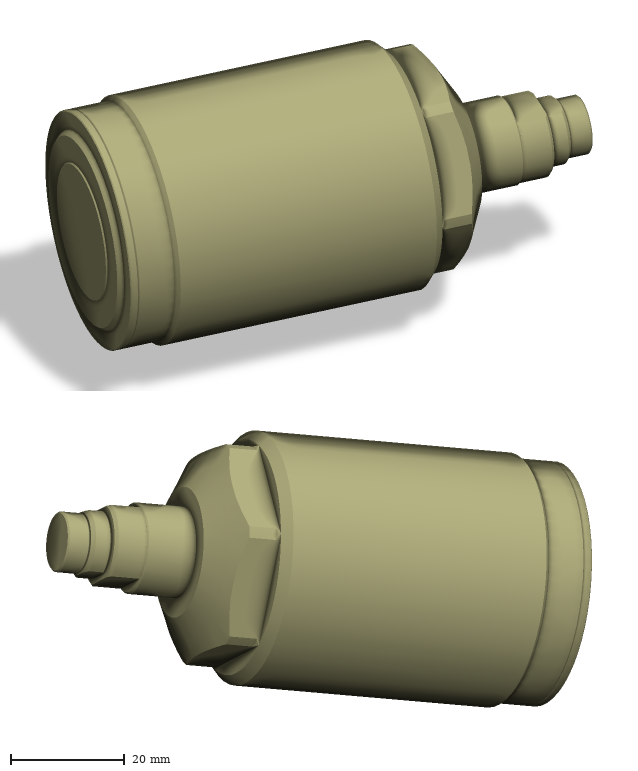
import cadquery as cq
import math

bezel_face_y = 0.3
cap_face_y = 1.2
cap_back_y = 2.7
step_front_y = 9.4
step_back_y = 10.2
shoulder_front_y = 58.3
shoulder_back_y = 60.0
hexagon_back_y = 70.9
collar_back_y = 80.1
sleeve_back_y = 86.0
nut_back_y = 89.8
tip_back_y = 94.0

disc_radius = 12.5
bezel_face_radius = 17.3
bezel_base_radius = 18.2
nose_radius = 21.6
barrel_diameter = 45.0
barrel_radius = barrel_diameter / 2
hexagon_corner_radius = 20.2
hexagon_across_flats = 36.0
hexagon_face_radius = 11.6
hexagon_cone_length = 5.2
collar_radius = 8.1
sleeve_radius = 7.8
sleeve_across_flats = 12.9
nut_radius = 6.2
nut_across_flats = 11.0
tip_radius = 5.4

edge_chamfer = 0.2
collar_chamfer = 0.3
sleeve_chamfer = 0.6
nut_front_chamfer = 0.4
nut_back_chamfer = 0.7
tip_chamfer = 0.3


def turned(profile):
    """Solid of revolution about Y from (radius, y) points; the axis closes the outline."""
    outline = [(0, profile[0][1]), *profile, (0, profile[-1][1])]
    return cq.Workplane("XY").polyline(outline).close().revolve(360, (0, 0, 0), (0, 1, 0))


def turned_step(radius, front_y, back_y, front_chamfer=0.0, back_chamfer=0.0):
    """Plain turned length, with an optional 45 degree chamfer at each end."""
    profile = []
    if front_chamfer:
        profile.append((radius - front_chamfer, front_y))
    profile.append((radius, front_y + front_chamfer))
    profile.append((radius, back_y - back_chamfer))
    if back_chamfer:
        profile.append((radius - back_chamfer, back_y))
    return turned(profile)


def two_flats(radius, across_flats, front_y, back_y):
    """Slab between two flats facing +Z and -Z, wide enough to hold a turned step."""
    length = back_y - front_y
    slab = cq.Workplane("XY").box(2 * radius, length, across_flats)
    return slab.translate((0, (front_y + back_y) / 2, 0))


def make_disc():
    """Round face plate, standing proud of the bezel around it."""
    return turned_step(disc_radius, 0, cap_face_y, front_chamfer=edge_chamfer)


def make_cap():
    """Front ring with a raised conical bezel and a recess that holds the disc."""
    cap = turned([
        (bezel_face_radius, bezel_face_y),
        (bezel_base_radius, cap_face_y),
        (nose_radius - edge_chamfer, cap_face_y),
        (nose_radius, cap_face_y + edge_chamfer),
        (nose_radius, cap_back_y - edge_chamfer),
        (nose_radius - edge_chamfer, cap_back_y),
    ])
    return cap.cut(turned_step(disc_radius, 0, cap_face_y))


def make_barrel():
    """Main cylinder, stepped down at the front and with a 45 degree shoulder at the back."""
    shoulder_chamfer = shoulder_back_y - shoulder_front_y
    return turned([
        (nose_radius - edge_chamfer, cap_back_y),
        (nose_radius, cap_back_y + edge_chamfer),
        (nose_radius, step_front_y),
        (barrel_radius, step_back_y),
        (barrel_radius, shoulder_front_y),
        (barrel_radius - shoulder_chamfer, shoulder_back_y),
    ])


def make_hexagon():
    """Hexagon whose corners are turned down; the shoulder cone runs on into the corners."""
    across_corners = hexagon_across_flats / math.cos(math.pi / 6)
    prism = (
        cq.Workplane("XZ", origin=(0, hexagon_back_y, 0))
        .polygon(6, across_corners)
        .extrude(hexagon_back_y - shoulder_back_y)
    )
    shoulder_radius = barrel_radius - (shoulder_back_y - shoulder_front_y)
    shoulder_end_y = shoulder_back_y + shoulder_radius - hexagon_corner_radius
    blank = turned([
        (shoulder_radius, shoulder_back_y),
        (hexagon_corner_radius, shoulder_end_y),
        (hexagon_corner_radius, hexagon_back_y - hexagon_cone_length),
        (hexagon_face_radius, hexagon_back_y),
    ])
    return prism.intersect(blank)


def make_housing():
    """Barrel, hexagon and rear collar in one piece."""
    collar = turned_step(collar_radius, hexagon_back_y, collar_back_y, back_chamfer=collar_chamfer)
    return make_barrel().union(make_hexagon()).union(collar)


def make_sleeve():
    """Round sleeve with two wrench flats."""
    blank = turned_step(sleeve_radius, collar_back_y, sleeve_back_y, back_chamfer=sleeve_chamfer)
    return blank.intersect(two_flats(sleeve_radius, sleeve_across_flats, collar_back_y, sleeve_back_y))


def make_nut():
    """Small nut with two wrench flats, chamfered at both ends."""
    blank = turned_step(nut_radius, sleeve_back_y, nut_back_y, nut_front_chamfer, nut_back_chamfer)
    return blank.intersect(two_flats(nut_radius, nut_across_flats, sleeve_back_y, nut_back_y))


def make_tip():
    """Round tip at the rear end."""
    return turned_step(tip_radius, nut_back_y, tip_back_y, tip_chamfer, tip_chamfer)


disc = make_disc()
cap = make_cap()
housing = make_housing()
sleeve = make_sleeve()
nut = make_nut()
tip = make_tip()

result = cq.Compound.makeCompound([
    disc.val(),
    cap.val(),
    housing.val(),
    sleeve.val(),
    nut.val(),
    tip.val(),
])